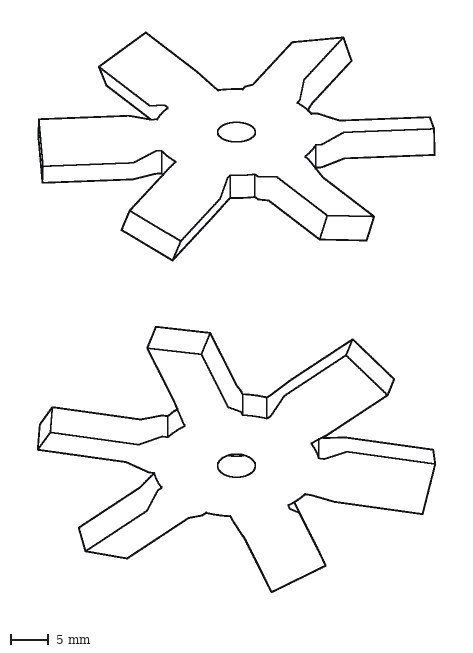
import cadquery as cq

hub_diameter = 22.0
bore_diameter = 5.0
thickness = 3.55

blade_count = 6
blade_width = 8.0
blade_pitch = 20
tip_radius = 26
twist_start = hub_diameter / 2
twist_length = 3.0
twist_end = twist_start + twist_length


def make_blade():
    """Return one blade along +X: flat root, twisted neck and pitched paddle."""
    root = cq.Workplane("YZ").rect(blade_width, thickness).extrude(twist_start)
    neck = (
        cq.Workplane("YZ", origin=(twist_start, 0, 0))
        .rect(blade_width, thickness)
        .workplane(offset=twist_length)
        .transformed(rotate=(0, 0, -blade_pitch))
        .rect(blade_width, thickness)
        .loft(ruled=True, combine=True)
    )
    paddle = (
        cq.Workplane("YZ", origin=(twist_end, 0, 0))
        .transformed(rotate=(0, 0, -blade_pitch))
        .rect(blade_width, thickness)
        .extrude(tip_radius - twist_end)
    )
    return root.union(neck).union(paddle)


rotor = cq.Workplane("XY").circle(hub_diameter / 2).extrude(thickness).translate((0, 0, -thickness / 2))
blade = make_blade()
for index in range(blade_count):
    angle = 90 + index * 360 / blade_count
    rotor = rotor.union(blade.rotate((0, 0, 0), (0, 0, 1), angle))

bore = cq.Workplane("XY", origin=(0, 0, -thickness)).circle(bore_diameter / 2).extrude(2 * thickness)
result = rotor.cut(bore)